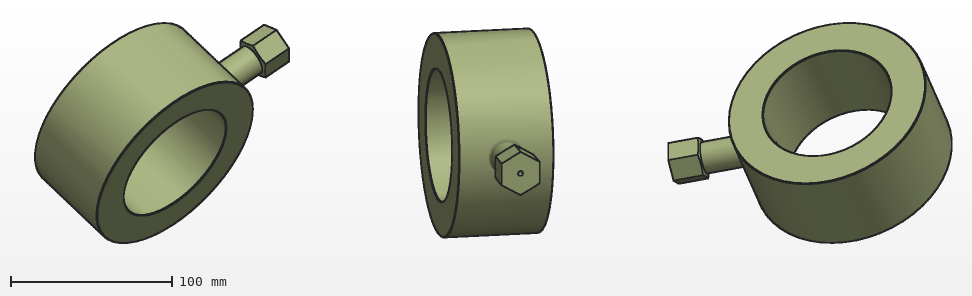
import cadquery as cq
import math

ring_diameter = 127.0
bore_diameter = 82.5
ring_width = 60.0
edge_chamfer = 0.5

overall_length = 171.0
hex_across_flats = 24.0
hex_length = 20.0
hex_cone_angle = 15.0
neck_diameter = 20.0
neck_fillet = 0.9
passage_diameter = 3.0

ring_radius = ring_diameter / 2
fitting_end = overall_length - ring_radius
hex_start = fitting_end - hex_length


def along_y(start):
    """Workplane at Y = start whose normal points along +Y."""
    return cq.Workplane(cq.Plane((0, start, 0), xDir=(0, 0, 1), normal=(0, 1, 0)))


def make_ring():
    return (
        cq.Workplane("YZ")
        .circle(ring_radius)
        .circle(bore_diameter / 2)
        .extrude(ring_width / 2, both=True)
        .faces("<X or >X")
        .edges()
        .chamfer(edge_chamfer)
    )


def make_hex_head():
    """Hexagon with corners at +Z and -Z, its ring-side face a shallow cone down to the neck."""
    corner_radius = hex_across_flats / 2 / math.cos(math.radians(30))
    neck_radius = neck_diameter / 2
    cone_height = (corner_radius - neck_radius) * math.tan(math.radians(hex_cone_angle))
    head = along_y(hex_start).polygon(6, 2 * corner_radius).extrude(hex_length)
    envelope = (
        cq.Workplane("XY")
        .moveTo(0, hex_start)
        .lineTo(neck_radius, hex_start)
        .lineTo(corner_radius, hex_start + cone_height)
        .lineTo(corner_radius, fitting_end)
        .lineTo(0, fitting_end)
        .close()
        .revolve(360, (0, 0, 0), (0, 1, 0))
    )
    return head.intersect(envelope)


def make_ring_with_neck():
    """Ring and round neck, with a small fillet where the neck meets the ring."""
    root = (ring_radius + bore_diameter / 2) / 2
    neck = along_y(root).circle(neck_diameter / 2).extrude(hex_start - root)
    joint = cq.selectors.BoxSelector(
        (-neck_diameter, root, -neck_diameter),
        (neck_diameter, ring_radius + neck_fillet, neck_diameter),
    )
    body = make_ring().union(neck)
    return body.edges(joint).fillet(neck_fillet)


passage = along_y(0).circle(passage_diameter / 2).extrude(fitting_end)

result = make_ring_with_neck().union(make_hex_head()).cut(passage)